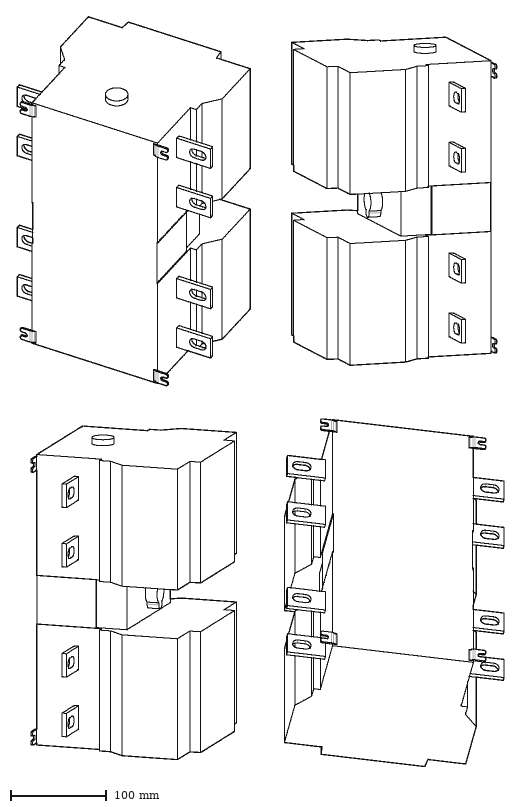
import cadquery as cq

body_height = 310.0
body_depth = 174.0
block_height = 129.0
block_offset = (body_height - block_height) / 2
bridge_height = body_height - 2 * block_height

base_half_width = 74.5
shoulder_half_width = 81.5
wide_half_width = 96.0
cap_root_half_width = 56.0
cap_top_half_width = 55.0
shoulder_y = 71.5
flare_start_y = 83.8
flare_end_y = 101.2
cap_root_y = 162.3

bridge_half_width = 73.7
bridge_rear_half_width = 71.0
bridge_step_y = 64.8
bridge_depth = 98.0

button_radius = 11.7
button_height = 6.3
button_y = 47.8
knob_radius = 11.0
knob_height = 13.0
pointer_half_width = 5.0
pointer_reach = 17.0

blade_tip_x = 114.8
blade_height = 25.0
blade_thickness = 4.7
blade_y = 44.0
blade_pitch = 63.5
blade_embed = 6.3
slot_center_x = 99.5
slot_length = 19.3
slot_width = 11.0

foot_thickness = 2.0
foot_height = 14.5
foot_edge_gap = 2.2
foot_tip_x = 87.5
foot_bend_x = 76.0
foot_outer_knee_x = 73.7
foot_outer_knee_thickness = 1.5
foot_inner_knee_x = 71.2
foot_inner_knee_thickness = 0.5
foot_end_x = 70.0
foot_slot_width = 4.7
foot_slot_depth = 8.2
foot_tip_radius = 2.2


def extrude_outline(right_side, height):
    """Extrude an outline symmetric about X = 0, centred on Z = 0; right_side runs front to rear."""
    left_side = [(-x, y) for x, y in reversed(right_side)]
    return (
        cq.Workplane("XY")
        .polyline(right_side + left_side)
        .close()
        .extrude(height / 2, both=True)
    )


def make_block():
    return extrude_outline(
        [
            (base_half_width, 0),
            (base_half_width, shoulder_y),
            (shoulder_half_width, shoulder_y),
            (shoulder_half_width, flare_start_y),
            (wide_half_width, flare_end_y),
            (wide_half_width, cap_root_y),
            (cap_root_half_width, cap_root_y),
            (cap_top_half_width, body_depth),
        ],
        block_height,
    )


def make_bridge():
    return extrude_outline(
        [
            (bridge_half_width, 0),
            (bridge_half_width, bridge_step_y),
            (bridge_rear_half_width, bridge_step_y),
            (bridge_rear_half_width, bridge_depth),
        ],
        bridge_height,
    )


def make_button():
    return (
        cq.Workplane("XY", origin=(0, button_y, body_height / 2))
        .circle(button_radius)
        .extrude(button_height)
    )


def make_knob():
    """Round knob on the rear of the bridge with a round-ended pointer hanging down."""
    rear_plane = cq.Plane(origin=(0, bridge_depth, 0), xDir=(-1, 0, 0), normal=(0, 1, 0))
    tip_center_z = pointer_half_width - pointer_reach
    disc = cq.Workplane(rear_plane).circle(knob_radius).extrude(knob_height)
    pointer = (
        cq.Workplane(rear_plane)
        .moveTo(-pointer_half_width, 0)
        .lineTo(-pointer_half_width, tip_center_z)
        .threePointArc((0, -pointer_reach), (pointer_half_width, tip_center_z))
        .lineTo(pointer_half_width, 0)
        .close()
        .extrude(knob_height)
    )
    return disc.union(pointer)


def make_blade():
    """Slotted terminal blade on the +X side, centred on Z = 0."""
    root_x = base_half_width - blade_embed
    slot = (
        cq.Workplane("XZ", origin=(slot_center_x, blade_y, 0))
        .slot2D(slot_length, slot_width)
        .extrude(blade_thickness, both=True)
    )
    return (
        cq.Workplane("XY")
        .box(blade_tip_x - root_x, blade_thickness, blade_height)
        .translate(((root_x + blade_tip_x) / 2, blade_y, 0))
        .cut(slot)
    )


def make_foot():
    """Forked mounting foot on the +X side, centred on Z = 0, thinning towards the body centre."""
    foot = (
        cq.Workplane("XY")
        .moveTo(foot_end_x, 0)
        .lineTo(foot_inner_knee_x, -foot_inner_knee_thickness)
        .lineTo(foot_outer_knee_x, -foot_outer_knee_thickness)
        .lineTo(foot_bend_x, -foot_thickness)
        .lineTo(foot_tip_x, -foot_thickness)
        .lineTo(foot_tip_x, 0)
        .close()
        .extrude(foot_height / 2, both=True)
    )
    slot = (
        cq.Workplane("XZ", origin=(foot_tip_x, 0, 0))
        .slot2D(2 * foot_slot_depth, foot_slot_width)
        .extrude(foot_thickness, both=True)
    )
    return foot.cut(slot).edges("|Y and >X").fillet(foot_tip_radius)


def add_on_both_sides(body, piece, heights):
    """Add copies of a +X side piece, and their mirror images on the -X side, at the given heights."""
    mirrored = piece.mirror("YZ")
    for z in heights:
        body = body.union(piece.translate((0, 0, z)))
        body = body.union(mirrored.translate((0, 0, z)))
    return body


block_centers = [-block_offset, block_offset]
blade_heights = [z + side * blade_pitch / 2 for z in block_centers for side in (-1, 1)]
foot_offset = body_height / 2 - foot_edge_gap - foot_height / 2

result = make_bridge()
for block_z in block_centers:
    result = result.union(make_block().translate((0, 0, block_z)))
result = result.union(make_button()).union(make_knob())
result = add_on_both_sides(result, make_blade(), blade_heights)
result = add_on_both_sides(result, make_foot(), [-foot_offset, foot_offset])